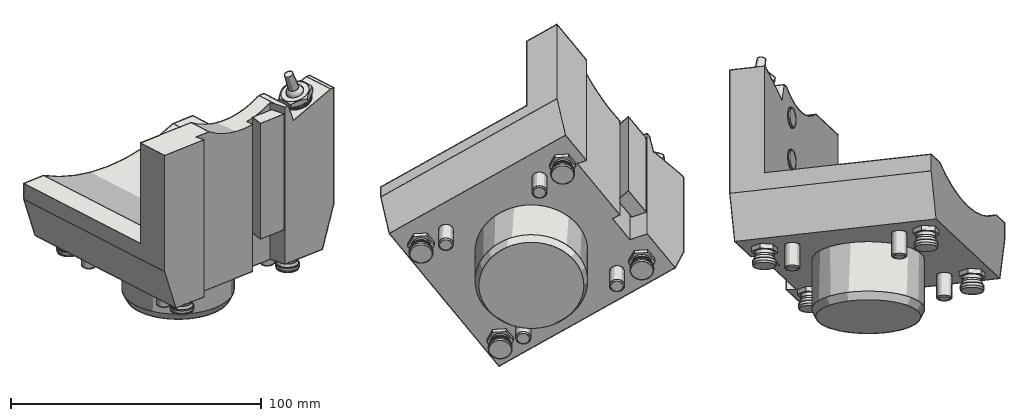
import cadquery as cq
import math


total_height = 104.1

body_length = 85.0
body_width = 90.0
body_height = 70.4
body_center_x = 0.4
base_height = 25.4
wall_thickness = 14.7
flank_height = 18.3
flank_inset = 6.0

saddle_half_width = 34.5
saddle_depth = 7.5
cradle_half_width = 18.0
cradle_depth = 4.9

tilt = 20.5
seat_corner_y = 23.5
seat_corner_z = 63.0
switch_y = 32.4

dovetail_angle = 12
slot_depth = 3.9
slot_low_y = -24.9
relief_depth = 7.3
relief_low_y = 5.2
relief_high_y = 17.5
block_front_gap = 0.7
block_back_gap = 0.4
block_low_y = 7.6
block_margin = 8.2

screw_y = 12.5
screw_pitch = 17.7
lowest_screw_z = 23.6
screw_count = 3
screw_diameter = 5.0
screw_head_diameter = 8.5
screw_head_height = 0.8
screw_head_chamfer = 0.4

spigot_diameter = 45.0
spigot_length = 23.9
spigot_taper_length = 3.1
spigot_taper_inset = 1.6
pin_x = 22.6
pin_y = 27.5
pin_diameter = 6.0
pin_length = 10.1
pin_chamfer = 0.5
fitting_x = 34.1
fitting_y = 28.1
fitting_hex_corners = 10.6
fitting_hex_height = 2.0
fitting_length = 7.8

back_x = body_center_x + body_length / 2
front_x = back_x - body_length
wall_x = back_x - wall_thickness
half_width = body_width / 2
dovetail_slope = math.tan(math.radians(dovetail_angle))
switch_x = back_x - wall_thickness / 2
switch_z = seat_corner_z + (switch_y - seat_corner_y) * math.tan(math.radians(tilt))
highest_screw_z = lowest_screw_z + (screw_count - 1) * screw_pitch


def side_profile(start_x):
    """Workplane across the part at start_x, with local axes along Y and Z."""
    return cq.Workplane("YZ", origin=(start_x, 0, 0))


def plan_profile(start_z):
    """Horizontal workplane at start_z."""
    return cq.Workplane("XY", origin=(0, 0, start_z))


def revolve_profile(points):
    """Solid of revolution about Z from (radius, height) points."""
    return cq.Workplane("XZ").polyline(points).close().revolve(360, (0, 0), (0, 1))


def round_hollow(start_x, length, half_chord, depth, top_z):
    """Cutter along X with a circular-arc underside that reaches depth below top_z."""
    return (
        side_profile(start_x)
        .moveTo(-half_chord, top_z)
        .threePointArc((0, top_z - depth), (half_chord, top_z))
        .close()
        .extrude(length)
    )


def make_body():
    foot = half_width - flank_inset
    outline = [
        (-foot, 0),
        (foot, 0),
        (half_width, flank_height),
        (half_width, body_height),
        (-half_width, body_height),
        (-half_width, flank_height),
    ]
    body = side_profile(front_x).polyline(outline).close().extrude(body_length)
    base_length = body_length - wall_thickness
    space_height = body_height - base_height
    space_center = (front_x + base_length / 2, 0, base_height + space_height / 2)
    space_above_base = cq.Workplane("XY").box(base_length, body_width, space_height).translate(space_center)
    body = body.cut(space_above_base)
    body = body.cut(round_hollow(front_x, base_length, saddle_half_width, saddle_depth, base_height))
    return body.cut(round_hollow(wall_x, wall_thickness, cradle_half_width, cradle_depth, body_height))


def seat_cutter():
    slope = math.tan(math.radians(tilt))
    rise = body_height - seat_corner_z
    notch = [
        (seat_corner_y, seat_corner_z),
        (seat_corner_y + rise / slope, body_height),
        (seat_corner_y - rise * slope, body_height),
    ]
    return side_profile(wall_x).polyline(notch).close().extrude(wall_thickness)


def slot_cutter():
    outline = [
        (back_x, slot_low_y + slot_depth * dovetail_slope),
        (back_x - slot_depth, slot_low_y),
        (back_x - slot_depth, relief_low_y),
        (back_x - relief_depth, relief_low_y),
        (back_x - relief_depth, relief_high_y),
        (back_x, relief_high_y + relief_depth * dovetail_slope),
    ]
    return plan_profile(0).polyline(outline).close().extrude(body_height)


def make_clamp_block():
    inner_x = back_x - relief_depth + block_front_gap
    outer_x = back_x - block_back_gap
    inner_high_y = relief_high_y + block_front_gap * dovetail_slope
    flare = (outer_x - inner_x) * dovetail_slope
    outline = [
        (inner_x, block_low_y),
        (outer_x, block_low_y - flare),
        (outer_x, inner_high_y + flare),
        (inner_x, inner_high_y),
    ]
    bottom_z = lowest_screw_z - block_margin
    height = highest_screw_z + block_margin - bottom_z
    return plan_profile(bottom_z).polyline(outline).close().extrude(height)


def make_screw(screw_z):
    head = (
        side_profile(wall_x - screw_head_height)
        .center(screw_y, screw_z)
        .circle(screw_head_diameter / 2)
        .extrude(screw_head_height)
        .faces("<X")
        .chamfer(screw_head_chamfer)
    )
    shank_length = wall_thickness - relief_depth + block_front_gap
    shank = side_profile(wall_x).center(screw_y, screw_z).circle(screw_diameter / 2).extrude(shank_length)
    return head.union(shank)


def make_spigot():
    radius = spigot_diameter / 2
    return revolve_profile([
        (0, 0),
        (radius, 0),
        (radius, spigot_taper_length - spigot_length),
        (radius - spigot_taper_inset, -spigot_length),
        (0, -spigot_length),
    ])


def make_pin():
    pin = plan_profile(-pin_length).circle(pin_diameter / 2).extrude(pin_length)
    return pin.faces("<Z").chamfer(pin_chamfer)


def make_fitting():
    hexagon = plan_profile(-fitting_hex_height).polygon(6, fitting_hex_corners).extrude(fitting_hex_height)
    hexagon = hexagon.rotate((0, 0, 0), (0, 0, 1), 90)
    neck_radius = 3.9
    step_diameter = 8.0
    step_radius = step_diameter / 2
    flare_radius = 4.5
    rim_radius = 4.8
    step_depth = 3.4
    flare_start = 4.3
    flare_end = 5.5
    rim_start = 5.8
    rim_end = 7.0
    barrel = revolve_profile([
        (0, 0),
        (neck_radius, 0),
        (neck_radius, -step_depth),
        (step_radius, -step_depth),
        (step_radius, -flare_start),
        (flare_radius, -flare_end),
        (rim_radius, -rim_start),
        (rim_radius, -rim_end),
        (flare_radius, -fitting_length),
        (0, -fitting_length),
    ])
    return hexagon.union(barrel)


def make_switch():
    """Toggle switch standing upright on the origin."""
    washer_radius = 5.8
    washer_top = 0.4
    collar_radius = 5.3
    nut_bottom = 1.7
    nut_top = 4.6
    nut_flats = 12.3
    nut_bevel_height = 0.6
    nut_bevel_width = 1.2
    dome_radius = 3.6
    dome_top = 6.8
    dome_middle_radius = 3.3
    lever_base_radius = 2.2
    lever_tip_radius = 1.8
    tilt_angle = math.radians(tilt)
    tip_rise = total_height - spigot_length - switch_z
    lever_tip = (tip_rise - lever_tip_radius * math.sin(tilt_angle)) / math.cos(tilt_angle)

    washer = plan_profile(0).circle(washer_radius).extrude(washer_top)
    collar = plan_profile(0).circle(collar_radius).extrude(nut_top)
    nut_corner_radius = nut_flats / math.sqrt(3)
    nut_height = nut_top - nut_bottom
    nut = plan_profile(nut_bottom).polygon(6, 2 * nut_corner_radius).extrude(nut_height)
    bevel = plan_profile(nut_bottom).circle(nut_corner_radius).extrude(nut_height)
    bevel = bevel.faces(">Z or <Z").chamfer(nut_bevel_height, nut_bevel_width)
    nut = nut.intersect(bevel)
    dome_bend = (dome_middle_radius, (nut_top + dome_top) / 2)
    dome = (
        cq.Workplane("XZ")
        .moveTo(0, nut_top)
        .lineTo(dome_radius, nut_top)
        .threePointArc(dome_bend, (lever_base_radius, dome_top))
        .lineTo(0, dome_top)
        .close()
        .revolve(360, (0, 0), (0, 1))
    )
    lever = revolve_profile([
        (0, nut_top),
        (lever_base_radius, nut_top),
        (lever_base_radius, dome_top),
        (lever_tip_radius, lever_tip),
        (0, lever_tip),
    ])
    return washer.union(collar).union(nut).union(dome).union(lever)


result = make_body().cut(seat_cutter()).cut(slot_cutter())
result = result.union(make_clamp_block())
for index in range(screw_count):
    result = result.union(make_screw(lowest_screw_z + index * screw_pitch))

result = result.union(make_spigot())
for side_x in (-1, 1):
    for side_y in (-1, 1):
        result = result.union(make_pin().translate((side_x * pin_x, side_y * pin_y, 0)))
        result = result.union(make_fitting().translate((side_x * fitting_x, side_y * fitting_y, 0)))

switch = make_switch().rotate((0, 0, 0), (1, 0, 0), tilt)
result = result.union(switch.translate((switch_x, switch_y, switch_z)))